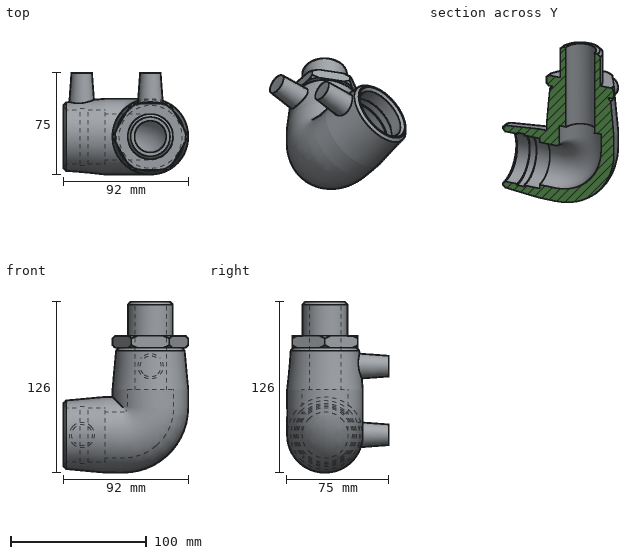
import cadquery as cq
import math

body_diameter = 56.0
body_radius = body_diameter / 2
bend_radius = 20.2
straight_end = 33.3
leg_end = 64.0
mouth_radius = 25.3
mouth_chamfer = 2.1

socket_diameter = 40.0
socket_lead_in = 2.1
groove_start = 12.0
groove_width = 5.8
groove_diameter = 42.1
socket_floor = 33.5
passage_diameter = 33.9

nut_across_flats = 48.5
nut_across_corners = nut_across_flats / math.cos(math.pi / 6)
nut_height = 8.8
nut_chamfer = 2.0
stud_diameter = 33.3
stud_top = 98.0
stud_chamfer = 2.1
stud_bore_diameter = 23.3

pin_distance = 50.5
pin_tip_y = 47.0
pin_tip_diameter = 15.4
pin_base_y = 21.4
pin_base_diameter = 19.2


def on_horizontal_leg(solid):
    """Turn a solid built along +Z so that it lies along -X."""
    return solid.rotate((0, 0, 0), (0, 1, 0), -90)


def bend(radius):
    """Quarter-torus bend; a tube wider than the bend is cut off at the bend axis."""
    section = cq.Sketch().circle(radius)
    if radius > bend_radius:
        section = section.push([(-bend_radius - radius, 0)]).rect(2 * radius, 2 * radius, mode="s").reset()
    tube = cq.Workplane("XY", origin=(0, 0, bend_radius)).placeSketch(section)
    return tube.revolve(90, (-bend_radius, 0, 0), (-bend_radius, 1, 0))


def cylinder(radius, start, end):
    return cq.Workplane("XY", origin=(0, 0, start)).circle(radius).extrude(end - start)


def leg():
    """Straight collar and tapered mouth, built along +Z."""
    return (
        cq.Workplane("XZ")
        .moveTo(0, bend_radius)
        .lineTo(body_radius, bend_radius)
        .lineTo(body_radius, straight_end)
        .lineTo(mouth_radius, leg_end - mouth_chamfer)
        .lineTo(mouth_radius - mouth_chamfer, leg_end)
        .lineTo(0, leg_end)
        .close()
        .revolve(360, (0, 0, 0), (0, 1, 0))
    )


def nut():
    hexagon = (
        cq.Workplane("XY", origin=(0, 0, leg_end))
        .polygon(6, nut_across_corners)
        .extrude(nut_height)
    )
    envelope = cylinder(nut_across_corners / 2, leg_end, leg_end + nut_height)
    return hexagon.intersect(envelope.edges().chamfer(nut_chamfer))


def stud():
    return cylinder(stud_diameter / 2, leg_end, stud_top).faces(">Z").chamfer(stud_chamfer)


def pin(x, z):
    length = pin_tip_y - pin_base_y
    cone = cq.Solid.makeCone(
        pin_base_diameter / 2,
        pin_tip_diameter / 2,
        length,
        pnt=cq.Vector(x, pin_base_y, z),
        dir=cq.Vector(0, 1, 0),
    )
    return cq.Workplane(cone)


def socket():
    """Threaded socket cavity, built along +Z."""
    groove_outer = leg_end - groove_start
    thread = cylinder(socket_diameter / 2, socket_floor, leg_end)
    groove = cylinder(groove_diameter / 2, groove_outer - groove_width, groove_outer)
    lead_in = cq.Workplane(
        cq.Solid.makeCone(
            socket_diameter / 2,
            socket_diameter / 2 + socket_lead_in,
            socket_lead_in,
            pnt=cq.Vector(0, 0, leg_end - socket_lead_in),
        )
    )
    return thread.union(groove).union(lead_in)


body = bend(body_radius).union(leg()).union(on_horizontal_leg(leg()))
body = body.union(nut()).union(stud())
body = body.union(pin(0, pin_distance)).union(pin(-pin_distance, 0))

passage_radius = passage_diameter / 2
passage_leg = cylinder(passage_radius, bend_radius, socket_floor)
passage = bend(passage_radius).union(passage_leg).union(on_horizontal_leg(passage_leg))
stud_bore = cylinder(stud_bore_diameter / 2, bend_radius, stud_top)

result = body.cut(passage).cut(stud_bore).cut(on_horizontal_leg(socket()))